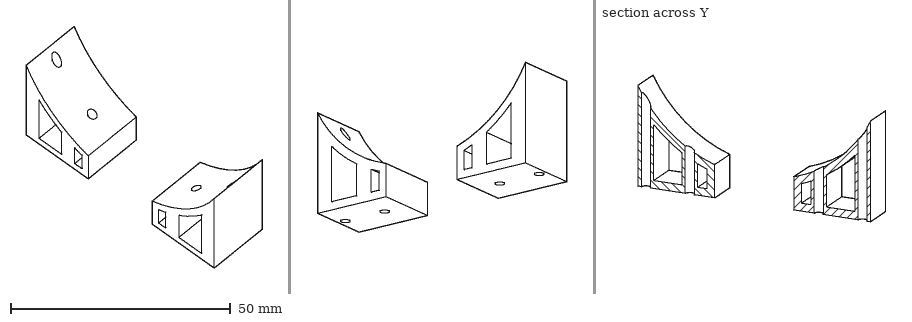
import cadquery as cq
import math

outer_half_span = 58.54 / 2
inner_half_gap = 9.94
block_depth = 16.0

saddle_radius = 33.0
saddle_axis_height = 39.5

floor_thickness = 2.0
saddle_wall = 2.0
inner_wall = 2.0
outer_wall = 4.0
rib_width = 4.1
large_window_width = 7.0

screw_hole_diameter = 2.2

large_window_end = outer_half_span - outer_wall
large_window_start = large_window_end - large_window_width
small_window_end = large_window_start - rib_width
small_window_start = inner_half_gap + inner_wall
window_ceiling_radius = saddle_radius + saddle_wall

outer_hole_x = outer_half_span - outer_wall / 2
rib_hole_x = large_window_start - rib_width / 2


def arc_point(radius, x):
    """Point at x on the lower half of a circle around the saddle axis."""
    return (x, saddle_axis_height - math.sqrt(radius**2 - x**2))


def column_under_arc(x_start, x_end, bottom, radius):
    """Full-depth prism between two X positions, topped by an arc around the saddle axis."""
    return (
        cq.Workplane("XZ")
        .moveTo(x_start, bottom)
        .lineTo(x_end, bottom)
        .lineTo(*arc_point(radius, x_end))
        .threePointArc(
            arc_point(radius, (x_start + x_end) / 2),
            arc_point(radius, x_start),
        )
        .close()
        .extrude(block_depth / 2, both=True)
    )


def screw_holes():
    """Vertical cylinders tall enough to pass through the whole block."""
    return (
        cq.Workplane("XY")
        .pushPoints([(rib_hole_x, 0), (outer_hole_x, 0)])
        .circle(screw_hole_diameter / 2)
        .extrude(saddle_axis_height)
    )


def cradle_block():
    """Block on the +X side with its saddle, two windows and two screw holes."""
    block = column_under_arc(inner_half_gap, outer_half_span, 0, saddle_radius)
    for x_start, x_end in [
        (small_window_start, small_window_end),
        (large_window_start, large_window_end),
    ]:
        window = column_under_arc(x_start, x_end, floor_thickness, window_ceiling_radius)
        block = block.cut(window)
    return block.cut(screw_holes())


right_block = cradle_block()
left_block = right_block.mirror("YZ")

result = cq.Compound.makeCompound([right_block.val(), left_block.val()])